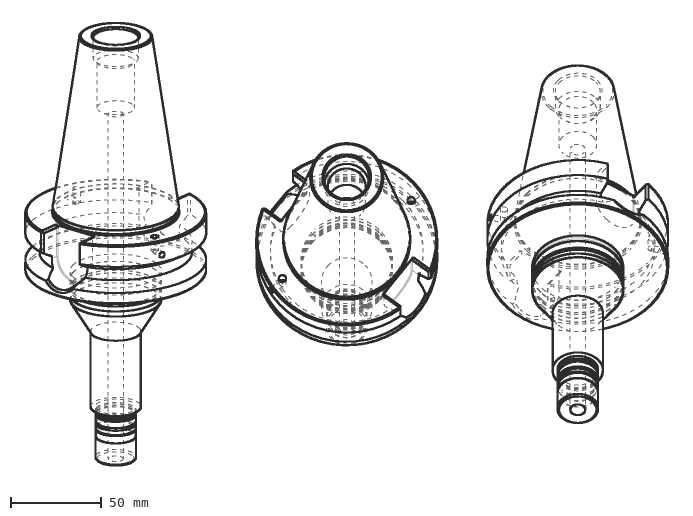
import cadquery as cq
import math


total_length = 251.3
taper_length = 101.8
taper_slope = 7 / 48
taper_end_chamfer = 0.8
gauge_radius = 35.0
relief_radius = 34.5
relief_chamfer = 0.8

flange_radius = 50.0
flange_top = -3.0
flange_bottom = -38.0
flange_chamfer = 0.8
groove_root_radius = 42.2
groove_root_top = -20.0
groove_root_bottom = -26.6
groove_flank_angle = 30
groove_flank_height = (flange_radius - groove_root_radius) * math.tan(math.radians(groove_flank_angle))

slot_width = 25.5
slot_floor = 35.5
slot_bottom = -34.0
slot_bevel = 1.3
slot_floor_fillet = 0.5

collar_radius = 25.25
collar_bottom = -55.0
collar_band_radius = 25.0
collar_bands = [
    (-39.2, -42.2, 1.3, 0),
    (-47.5, -49.0, 0, 0),
    (-52.0, collar_bottom, 0, 0),
]
shank_radius = 13.95
shank_top = -74.0
shank_bottom = -118.5
tip_radius = 11.3
tip_band_radius = 11.0
tip_bands = [
    (-120.5, -123.1, 0.8, 0.8),
    (-127.0, -128.5, 0, 0),
    (-131.0, -136.0, 0.8, 0),
]
tip_chamfer = 1.0
tip_bottom = taper_length - total_length

bore_mouth_radius = 12.45
bore_mouth_chamfer = 1.0
bore_mouth_depth = 13.3
bore_radius = 10.43
bore_depth = 42.7
coolant_radius = 4.15
drill_point_angle = 118

port_angles = [160, 340]
port_radius = 2.0
port_circle_radius = 42.2
cross_hole_radius = 1.63
cross_hole_height = -11.3

clearance = 2.5


def revolve_profile(points):
    """Revolve a closed outline of (radius, height) points about the tool axis."""
    return cq.Workplane("XZ").polyline(points).close().revolve(360, (0, 0, 0), (0, 1, 0))


def taper():
    end_radius = gauge_radius - taper_length * taper_slope
    return revolve_profile([
        (0, taper_length),
        (end_radius - taper_end_chamfer, taper_length),
        (end_radius + taper_end_chamfer * taper_slope, taper_length - taper_end_chamfer),
        (gauge_radius, 0),
        (relief_radius, 0),
        (relief_radius, flange_top + relief_chamfer),
        (relief_radius + relief_chamfer, flange_top),
        (0, flange_top),
    ])


def drive_slot():
    """Round-bottomed slot with a flat floor, open through the -Y side of the flange."""
    half_width = slot_width / 2
    arc_height = slot_bottom + half_width
    return (
        cq.Workplane("XZ", origin=(0, -slot_floor, 0))
        .moveTo(-half_width, flange_top)
        .lineTo(-half_width, arc_height)
        .threePointArc((0, slot_bottom), (half_width, arc_height))
        .lineTo(half_width, flange_top)
        .close()
        .extrude(flange_radius)
        .faces(">Y")
        .edges("not >Z")
        .fillet(slot_floor_fillet)
    )


def slot_top_bevel():
    """Wedge that bevels the top edges of both walls of the -Y slot at 45 degrees."""
    half_width = slot_width / 2
    outline = [
        (-half_width - slot_bevel, flange_top),
        (half_width + slot_bevel, flange_top),
        (half_width, flange_top - slot_bevel),
        (-half_width, flange_top - slot_bevel),
    ]
    wedge = cq.Workplane("XZ", origin=(0, -slot_floor, 0)).polyline(outline).close()
    return wedge.extrude(flange_radius)


def slot_mouth_edges(side):
    """Select the U-shaped rim of the slot on one side (-1 or +1 along Y) of the flange."""
    margin = 0.3
    half_width = slot_width / 2 + margin
    inner_y = math.sqrt(flange_radius ** 2 - (slot_width / 2) ** 2) - margin
    return cq.selectors.BoxSelector(
        (-half_width, side * inner_y, slot_bottom - margin),
        (half_width, side * (flange_radius + margin), flange_top - margin),
    )


def rim_chamfer(face_height, rim_height):
    """Ring that bevels the flange rim between a flat face and a height on the rim."""
    return revolve_profile([
        (flange_radius - flange_chamfer, face_height),
        (flange_radius + clearance, face_height),
        (flange_radius + clearance, rim_height),
        (flange_radius, rim_height),
    ])


def rim_groove():
    upper_edge = groove_root_top + groove_flank_height
    lower_edge = groove_root_bottom - groove_flank_height
    return revolve_profile([
        (groove_root_radius, groove_root_top),
        (flange_radius, upper_edge),
        (flange_radius + clearance, upper_edge),
        (flange_radius + clearance, lower_edge),
        (flange_radius, lower_edge),
        (groove_root_radius, groove_root_bottom),
    ])


def flange():
    """Disc with two bevelled drive slots, then the V-groove and chamfers around its rim."""
    body = cq.Workplane("XY", origin=(0, 0, flange_bottom)).circle(flange_radius)
    body = body.extrude(flange_top - flange_bottom)
    for turn in (0, 180):
        body = body.cut(drive_slot().rotate((0, 0, 0), (0, 0, 1), turn))
    body = body.edges(slot_mouth_edges(-1) + slot_mouth_edges(1)).chamfer(slot_bevel)
    for turn in (0, 180):
        body = body.cut(slot_top_bevel().rotate((0, 0, 0), (0, 0, 1), turn))
    body = body.cut(rim_groove())
    body = body.cut(rim_chamfer(flange_top, flange_top - flange_chamfer))
    return body.cut(rim_chamfer(flange_bottom, flange_bottom + flange_chamfer))


def cut_bands(body, bands, surface_radius, band_radius):
    """Turn shallow bands into a cylinder, with sloped flanks where a flank height is given."""
    outside = surface_radius + clearance
    for top, bottom, top_flank, bottom_flank in bands:
        outline = [(outside, top), (surface_radius, top)]
        outline.append((band_radius, top - top_flank))
        outline.append((band_radius, bottom + bottom_flank))
        outline += [(surface_radius, bottom), (outside, bottom)]
        body = body.cut(revolve_profile(outline))
    return body


def nose():
    body = revolve_profile([
        (0, flange_bottom),
        (collar_radius, flange_bottom),
        (collar_radius, collar_bottom),
        (shank_radius, shank_top),
        (shank_radius, shank_bottom),
        (tip_radius, shank_bottom),
        (tip_radius, tip_bottom + tip_chamfer),
        (tip_radius - tip_chamfer, tip_bottom),
        (0, tip_bottom),
    ])
    body = cut_bands(body, collar_bands, collar_radius, collar_band_radius)
    return cut_bands(body, tip_bands, tip_radius, tip_band_radius)


def bore():
    """Stepped bore from the small end of the taper, with a coolant hole right through."""
    mouth_floor = taper_length - bore_mouth_depth
    bore_floor = taper_length - bore_depth
    step = bore_mouth_radius - bore_radius
    point_height = (bore_radius - coolant_radius) / math.tan(math.radians(drill_point_angle / 2))
    return revolve_profile([
        (0, taper_length),
        (bore_mouth_radius + bore_mouth_chamfer, taper_length),
        (bore_mouth_radius, taper_length - bore_mouth_chamfer),
        (bore_mouth_radius, mouth_floor),
        (bore_radius, mouth_floor - step),
        (bore_radius, bore_floor),
        (coolant_radius, bore_floor - point_height),
        (coolant_radius, tip_bottom),
        (0, tip_bottom),
    ])


def coolant_port(angle):
    """Vertical port in the flange top that meets a radial hole from the rim."""
    start = (port_circle_radius, 0, cross_hole_height)
    port = cq.Workplane("XY", origin=start).circle(port_radius).extrude(flange_top - cross_hole_height)
    cross_hole = cq.Workplane("YZ", origin=start).circle(cross_hole_radius)
    cross_hole = cross_hole.extrude(flange_radius - port_circle_radius)
    return port.union(cross_hole).rotate((0, 0, 0), (0, 0, 1), angle)


result = taper().union(flange()).union(nose()).cut(bore())
for port_angle in port_angles:
    result = result.cut(coolant_port(port_angle))